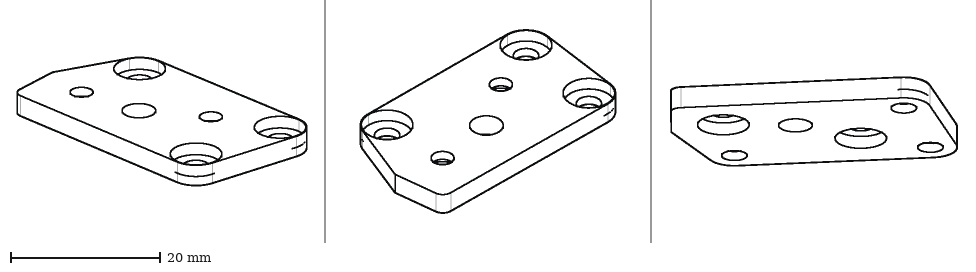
import cadquery as cq
import math

thickness = 3.0
corner_radius = 3.6
small_corner_radius = 1.5
small_corner_center = (-14.63, -11.47)
left_tip = (-17.92, -5.1)

screw_centers = [(14.35, -4.7), (14.1, 9.4), (-11.97, 5.02)]
screw_diameter = 3.4

inner_centers = [(5.95, 3.85), (-10.5, -5.65)]
inner_diameter = 3.1

counterbore_diameter = 6.92
web = 1.3
counterbore_depth = thickness - web

center_hole_center = (-1.25, -2.87)
center_hole_diameter = 4.5


def point_at(center, radius, angle):
    """Point on a circle at the given angle in radians."""
    return (center[0] + radius * math.cos(angle), center[1] + radius * math.sin(angle))


def tangent_angle(first, second):
    """Direction of the outward normal of the edge touching two corners, going counterclockwise."""
    (x1, y1), r1 = first
    (x2, y2), r2 = second
    distance = math.hypot(x2 - x1, y2 - y1)
    heading = math.atan2(y2 - y1, x2 - x1)
    return heading - math.acos((r1 - r2) / distance)


def make_plate():
    """Plate whose straight edges run tangent from one rounded corner to the next."""
    corners = [(center, corner_radius) for center in screw_centers]
    corners.append((left_tip, 0.0))
    corners.append((small_corner_center, small_corner_radius))
    count = len(corners)
    normals = [tangent_angle(corners[i], corners[(i + 1) % count]) for i in range(count)]

    first_center, first_radius = corners[0]
    outline = cq.Workplane("XY").moveTo(*point_at(first_center, first_radius, normals[-1]))
    for i, (center, radius) in enumerate(corners):
        start_angle = normals[i - 1]
        sweep = (normals[i] - start_angle) % (2 * math.pi)
        if i > 0:
            outline = outline.lineTo(*point_at(center, radius, start_angle))
        if radius > 0:
            middle = point_at(center, radius, start_angle + sweep / 2)
            end = point_at(center, radius, normals[i])
            outline = outline.threePointArc(middle, end)
    return outline.close().extrude(thickness)


def cylinders(centers, diameter, bottom, height):
    """Vertical cylinders used as cutters."""
    return cq.Workplane("XY", origin=(0, 0, bottom)).pushPoints(centers).circle(diameter / 2).extrude(height)


result = make_plate()

result = result.cut(cylinders(screw_centers, screw_diameter, 0, thickness))
result = result.cut(cylinders(inner_centers, inner_diameter, 0, thickness))
result = result.cut(cylinders([center_hole_center], center_hole_diameter, 0, thickness))

result = result.cut(cylinders(screw_centers, counterbore_diameter, web, counterbore_depth))
result = result.cut(cylinders(inner_centers, counterbore_diameter, 0, counterbore_depth))